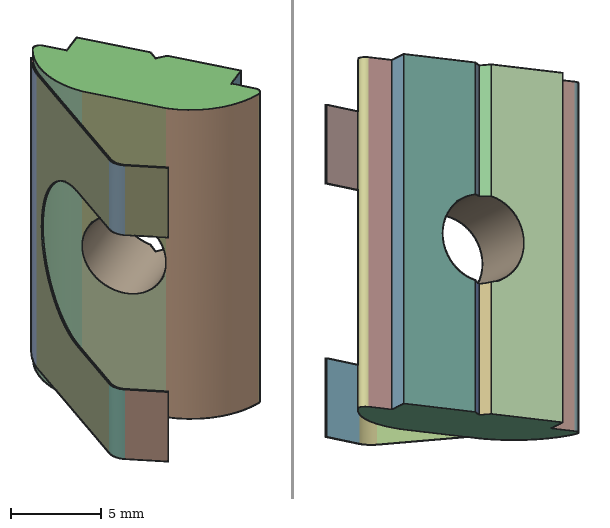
import cadquery as cq
import math

length = 20.0
body_depth = 5.3
neck_half_width = 4.9
neck_height = 1.5
notch_depth = 0.5
flat_half_width = 2.5
flank_radius = 5.0
flank_center_x = 2.02
shoulder_radius = 0.4
hole_diameter = 5.0

clip_thickness = 0.1
clip_height = 19.0
clip_depth = 11.15
clip_tip_x = 4.65
bend_inner_radius = 1.0
leg_angle = 45.0
wrap_start_drop = 2.18
wrap_end_x = -5.85
lip_angle = 15.0
cutout_radius = 5.0
cutout_center_x = -1.82

flank_center_y = -body_depth + math.sqrt(flank_radius**2 - (flat_half_width - flank_center_x)**2)


def on_circle(center, radius, degrees):
    angle = math.radians(degrees)
    return (center[0] + radius * math.cos(angle), center[1] + radius * math.sin(angle))


def mirrored(point):
    return (-point[0], point[1])


def make_body():
    center = (flank_center_x, flank_center_y)
    drop = flank_center_y + neck_height
    corner_angle = -math.degrees(math.asin(drop / flank_radius))
    flat_end = (flat_half_width, -body_depth)
    flat_end_angle = -math.degrees(math.acos((flat_half_width - flank_center_x) / flank_radius))
    middle = on_circle(center, flank_radius, (corner_angle + flat_end_angle) / 2)
    corner = on_circle(center, flank_radius, corner_angle)
    body = (
        cq.Workplane("XY", origin=(0, 0, -length / 2))
        .moveTo(-neck_half_width, 0)
        .lineTo(-notch_depth, 0)
        .lineTo(0, -notch_depth)
        .lineTo(notch_depth, 0)
        .lineTo(neck_half_width, 0)
        .lineTo(neck_half_width, -neck_height)
        .lineTo(*corner)
        .threePointArc(middle, flat_end)
        .lineTo(*mirrored(flat_end))
        .threePointArc(mirrored(middle), mirrored(corner))
        .lineTo(-neck_half_width, -neck_height)
        .close()
        .extrude(length)
    )
    body = body.edges("|Z and (<X or >X)").fillet(shoulder_radius)
    hole = cq.Workplane("XZ").circle(hole_diameter / 2).extrude(body_depth)
    return body.cut(hole)


def make_clip():
    wrap_center = (-flank_center_x, flank_center_y)
    wrap_outer = flank_radius + clip_thickness
    bend_outer = bend_inner_radius + clip_thickness

    start = 180 + math.degrees(math.asin((flank_center_y + wrap_start_drop) / flank_radius))
    wrap_end = 180 + math.degrees(math.acos((wrap_center[0] - wrap_end_x) / wrap_outer))
    wrap_middle = (start + wrap_end) / 2
    leg_start = on_circle(wrap_center, wrap_outer, wrap_end)

    leg = 180 + leg_angle
    bend_y = bend_outer - clip_depth
    bend_x = (
        leg_start[0]
        + (leg_start[1] - bend_y) / math.tan(math.radians(leg_angle))
        + bend_outer / math.sin(math.radians(leg_angle))
    )
    bend_center = (bend_x, bend_y)
    lip = 270 + lip_angle
    bend_middle = (leg + lip) / 2

    lip_outer = on_circle(bend_center, bend_outer, lip)
    lip_inner = on_circle(bend_center, bend_inner_radius, lip)
    lip_length = (clip_tip_x - lip_outer[0]) / math.cos(math.radians(lip_angle))
    sheet = (
        cq.Workplane("XY", origin=(0, 0, -clip_height / 2))
        .moveTo(*on_circle(wrap_center, wrap_outer, start))
        .threePointArc(
            on_circle(wrap_center, wrap_outer, wrap_middle),
            leg_start,
        )
        .lineTo(*on_circle(bend_center, bend_outer, leg))
        .threePointArc(on_circle(bend_center, bend_outer, bend_middle), lip_outer)
        .lineTo(*on_circle(lip_outer, lip_length, lip_angle))
        .lineTo(*on_circle(lip_inner, lip_length, lip_angle))
        .lineTo(*lip_inner)
        .threePointArc(
            on_circle(bend_center, bend_inner_radius, bend_middle),
            on_circle(bend_center, bend_inner_radius, leg),
        )
        .lineTo(*on_circle(wrap_center, flank_radius, wrap_end))
        .threePointArc(
            on_circle(wrap_center, flank_radius, wrap_middle),
            on_circle(wrap_center, flank_radius, start),
        )
        .close()
        .extrude(clip_height)
    )

    run = cutout_center_x - leg_start[0]
    cutout_y = leg_start[1] - run * math.tan(math.radians(leg_angle))
    leg_direction = (math.cos(math.radians(leg_angle)), -math.sin(math.radians(leg_angle)), 0)
    leg_normal = (math.sin(math.radians(leg_angle)), math.cos(math.radians(leg_angle)), 0)
    plane = cq.Plane(origin=(cutout_center_x, cutout_y, 0), xDir=leg_direction, normal=leg_normal)
    cutout = (
        cq.Workplane(plane)
        .moveTo(clip_depth, cutout_radius)
        .lineTo(0, cutout_radius)
        .threePointArc((-cutout_radius, 0), (0, -cutout_radius))
        .lineTo(clip_depth, -cutout_radius)
        .close()
        .extrude(clip_depth, both=True)
    )
    return sheet.cut(cutout)


result = make_body().union(make_clip())